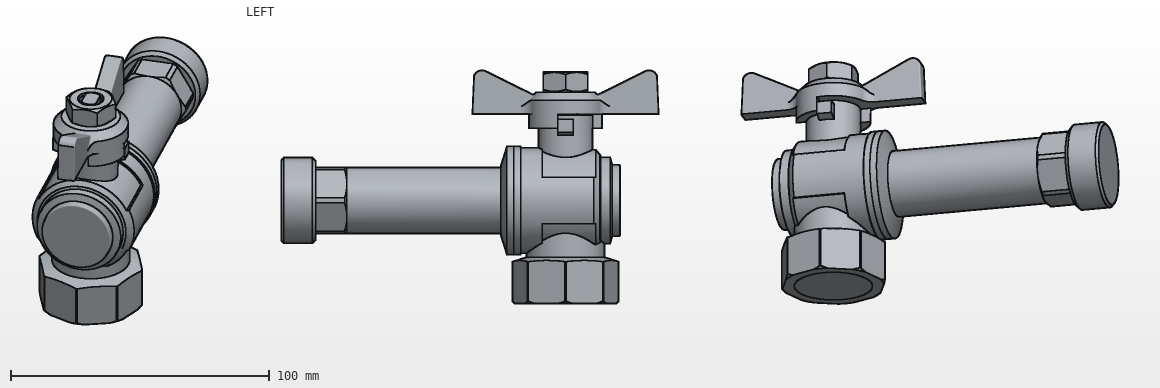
import cadquery as cq
import math


barrel_radius = 20.5
collar_diameter = 42.0
collar_start_y = 17.4
joint_y = 20.0
barrel_end_y = -11.0
barrel_chamfer_end_y = -13.3
barrel_chamfer_end_radius = 17.8
cap_radius = 16.8
cap_start_y = -13.7
cap_end_y = -17.2
plug_radius = 13.9
plug_start_y = -18.1
plug_end_y = -21.2
plug_edge_fillet = 0.7

recess_radius = 19.7
recess_half_height = 8.9
recess_start_y = 9.0

neck_diameter = 21.0
neck_top_z = 33.0
outlet_neck_diameter = 30.2

lug_half_width = 2.9
lug_top_z = 31.4
lug_edge_z = 26.4
lug_root_z = 25.3

flange_edge_y = 22.6
flange_cone_end_y = 25.0
flange_cone_radius = 13.7
pipe_diameter = 25.7
hexagon_flats = 25.7
hexagon_corner_diameter = 28.6
hexagon_start_y = 84.5
hexagon_chamfer_radial = (hexagon_corner_diameter - pipe_diameter) / 2
hexagon_chamfer_axial = 0.9
sleeve_radius = 16.6
sleeve_start_y = 96.5
sleeve_inner_chamfer = 1.5
sleeve_outer_chamfer = 1.0
handle_tip_y = 36.0
tail_end_y = 146 - handle_tip_y

outlet_nut_sides = 8
outlet_nut_flats = 38.3
outlet_nut_corner_radius = 20.6
outlet_nut_top_z = -21.9
outlet_nut_shoulder_z = -23.7
outlet_nut_bottom_z = -39.9
outlet_nut_chamfer = 0.9

hub_radius = 14.5
hub_top_radius = 11.4
hub_bottom_z = 33.5
hub_top_z = 41.9
hub_cone_base_z = 38.8
skirt_bottom_z = 27.9
wing_half_width = 3.4
wing_root_fillet = 5.3
wing_edge_fillet = 0.6
wing_cone_fillet = 0.7
wing_top_z = 50.4
wing_shoulder_z = 48.2
wing_crest_y = 32.3
wing_crest_radius = 3.4
wing_inner_y = 11.0
wing_slope_angle = 26.5

spindle_diameter = 8.9
spindle_flats = 5.8
top_nut_flats = 17.2
top_nut_face_diameter = 16.4
top_nut_height = 7.9
top_nut_chamfer_angle = 30
top_nut_bore_chamfer = 0.6
top_nut_z = hub_top_z + top_nut_height


def turned_about_pipe(profile):
    """Solid of revolution about Y from (radius, y) points; the axis closes the outline."""
    return cq.Workplane("XY").polyline(profile).close().revolve(360, (0, 0, 0), (0, 1, 0))


def turned_about_stem(profile):
    """Solid of revolution about Z from (radius, z) points; the axis closes the outline."""
    return cq.Workplane("XZ").polyline(profile).close().revolve(360, (0, 0, 0), (0, 1, 0))


def cylinder_z(diameter, bottom_z, top_z):
    return cq.Workplane("XY", origin=(0, 0, bottom_z)).circle(diameter / 2).extrude(top_z - bottom_z)


def prism_z(sides, across_flats, bottom_z, top_z):
    corner_diameter = across_flats / math.cos(math.pi / sides)
    prism = cq.Workplane("XY", origin=(0, 0, bottom_z)).polygon(sides, corner_diameter)
    return prism.extrude(top_z - bottom_z)


def make_barrel():
    collar_radius = collar_diameter / 2
    barrel = turned_about_pipe([
        (0, joint_y),
        (collar_radius, joint_y),
        (collar_radius, collar_start_y),
        (barrel_radius, collar_start_y),
        (barrel_radius, barrel_end_y),
        (barrel_chamfer_end_radius, barrel_chamfer_end_y),
        (cap_radius, cap_start_y),
        (cap_radius, cap_end_y),
        (plug_radius, plug_start_y),
        (plug_radius, plug_end_y),
        (0, plug_end_y),
    ])
    return barrel.faces("<Y").edges().fillet(plug_edge_fillet)


def make_recess(side):
    """Thin shell of the barrel above (side 1) or below (side -1) the pipe axis."""
    length = recess_start_y - barrel_chamfer_end_y
    shell = (
        cq.Workplane("XZ", origin=(0, recess_start_y, 0))
        .circle(collar_diameter / 2)
        .circle(recess_radius)
        .extrude(length)
    )
    region_height = collar_diameter / 2 - recess_half_height
    region = cq.Workplane("XY").box(collar_diameter, length, region_height).translate((
        0,
        (recess_start_y + barrel_chamfer_end_y) / 2,
        side * (recess_half_height + region_height / 2),
    ))
    return shell.intersect(region)


def make_lugs():
    """One bar through the neck gives both lugs; its underside rises towards the ends."""
    neck_radius = neck_diameter / 2
    return (
        cq.Workplane("XZ", origin=(0, lug_half_width, 0))
        .moveTo(-hub_radius, lug_top_z)
        .lineTo(hub_radius, lug_top_z)
        .lineTo(hub_radius, lug_edge_z)
        .lineTo(neck_radius, lug_root_z)
        .lineTo(-neck_radius, lug_root_z)
        .lineTo(-hub_radius, lug_edge_z)
        .close()
        .extrude(2 * lug_half_width)
    )


def make_body():
    stem_neck = cylinder_z(neck_diameter, 0, neck_top_z)
    outlet_neck = cylinder_z(outlet_neck_diameter, outlet_nut_bottom_z, 0)
    barrel = make_barrel()
    for side in (1, -1):
        barrel = barrel.cut(make_recess(side))
    return barrel.union(stem_neck).union(outlet_neck).union(make_lugs())


def make_tailpiece():
    pipe_radius = pipe_diameter / 2
    flange_radius = collar_diameter / 2
    turned = turned_about_pipe([
        (0, joint_y),
        (flange_radius, joint_y),
        (flange_radius, flange_edge_y),
        (flange_cone_radius, flange_cone_end_y),
        (pipe_radius, flange_cone_end_y),
        (pipe_radius, sleeve_start_y),
        (sleeve_radius - sleeve_inner_chamfer, sleeve_start_y),
        (sleeve_radius, sleeve_start_y + sleeve_inner_chamfer),
        (sleeve_radius, tail_end_y - sleeve_outer_chamfer),
        (sleeve_radius - sleeve_outer_chamfer, tail_end_y),
        (0, tail_end_y),
    ])
    corner_radius = hexagon_corner_diameter / 2
    hexagon_envelope = turned_about_pipe([
        (0, hexagon_start_y),
        (corner_radius - hexagon_chamfer_radial, hexagon_start_y),
        (corner_radius, hexagon_start_y + hexagon_chamfer_axial),
        (corner_radius, sleeve_start_y),
        (0, sleeve_start_y),
    ])
    hexagon = prism_z(6, hexagon_flats, -sleeve_start_y, -hexagon_start_y)
    hexagon = hexagon.rotate((0, 0, 0), (1, 0, 0), 90)
    return turned.union(hexagon.intersect(hexagon_envelope))


def make_outlet_nut():
    corner = outlet_nut_corner_radius
    envelope = turned_about_stem([
        (0, outlet_nut_top_z),
        (outlet_neck_diameter / 2, outlet_nut_top_z),
        (corner, outlet_nut_shoulder_z),
        (corner, outlet_nut_bottom_z + outlet_nut_chamfer),
        (corner - outlet_nut_chamfer, outlet_nut_bottom_z),
        (0, outlet_nut_bottom_z),
    ])
    prism = prism_z(outlet_nut_sides, outlet_nut_flats, outlet_nut_bottom_z, outlet_nut_top_z)
    bore = cylinder_z(outlet_neck_diameter, outlet_nut_bottom_z, outlet_nut_top_z)
    return prism.intersect(envelope).cut(bore)


def make_wing_root():
    """Vertical web through the hub, joined to its round side by concave fillets."""
    fillet_x = wing_half_width + wing_root_fillet
    center_distance = hub_radius + wing_root_fillet
    fillet_y = math.sqrt(center_distance**2 - fillet_x**2)
    tangent_x = fillet_x * hub_radius / center_distance
    tangent_y = fillet_y * hub_radius / center_distance
    middle = math.pi + math.atan2(fillet_y, fillet_x) / 2
    middle_x = fillet_x + wing_root_fillet * math.cos(middle)
    middle_y = fillet_y + wing_root_fillet * math.sin(middle)
    return (
        cq.Workplane("XY", origin=(0, 0, hub_bottom_z))
        .moveTo(tangent_x, -tangent_y)
        .threePointArc((middle_x, -middle_y), (wing_half_width, -fillet_y))
        .lineTo(-wing_half_width, -fillet_y)
        .threePointArc((-middle_x, -middle_y), (-tangent_x, -tangent_y))
        .lineTo(-tangent_x, tangent_y)
        .threePointArc((-middle_x, middle_y), (-wing_half_width, fillet_y))
        .lineTo(wing_half_width, fillet_y)
        .threePointArc((middle_x, middle_y), (tangent_x, tangent_y))
        .close()
        .extrude(hub_top_z - hub_bottom_z)
    )


def make_hub():
    slope = (hub_top_z - hub_cone_base_z) / (hub_radius - hub_top_radius)
    cone_base_radius = hub_top_radius + (hub_top_z - hub_bottom_z) / slope
    cone = turned_about_stem([
        (0, hub_top_z),
        (hub_top_radius, hub_top_z),
        (cone_base_radius, hub_bottom_z),
        (0, hub_bottom_z),
    ])
    disc = cylinder_z(2 * hub_radius, hub_bottom_z, hub_top_z)
    return disc.union(make_wing_root()).intersect(cone)


def make_skirt():
    """Two ring segments that leave opposite quadrants free for the stop lugs."""
    ring = cylinder_z(2 * hub_radius, skirt_bottom_z, hub_bottom_z).cut(
        cylinder_z(neck_diameter, skirt_bottom_z, hub_bottom_z)
    )
    corner = cq.Workplane("XY", origin=(lug_half_width, lug_half_width, skirt_bottom_z)).box(
        hub_radius, hub_radius, hub_bottom_z - skirt_bottom_z, centered=False
    )
    segment = ring.intersect(corner.rotate((0, 0, 0), (0, 0, 1), 90))
    return segment.union(segment.rotate((0, 0, 0), (0, 0, 1), 180))


def make_wing():
    crest_z = wing_top_z - wing_crest_radius
    outer_angle = math.asin((wing_shoulder_z - crest_z) / wing_crest_radius)
    slope_angle = math.radians(90 + wing_slope_angle)

    def crest_point(angle):
        return (
            wing_crest_y + wing_crest_radius * math.cos(angle),
            crest_z + wing_crest_radius * math.sin(angle),
        )

    slope_end_y, slope_end_z = crest_point(slope_angle)
    inner_z = slope_end_z - (slope_end_y - wing_inner_y) * math.tan(math.radians(wing_slope_angle))
    return (
        cq.Workplane("YZ", origin=(-wing_half_width, 0, 0))
        .moveTo(wing_inner_y, hub_bottom_z)
        .lineTo(handle_tip_y, hub_bottom_z)
        .lineTo(*crest_point(outer_angle))
        .threePointArc(crest_point((outer_angle + slope_angle) / 2), (slope_end_y, slope_end_z))
        .lineTo(wing_inner_y, inner_z)
        .close()
        .extrude(2 * wing_half_width)
        .faces("not (|X or <Z or <Y)")
        .edges("not |X")
        .fillet(wing_edge_fillet)
    )


def make_handle():
    wing = make_wing()
    handle = make_hub().union(make_skirt())
    for turn in (0, 180):
        handle = handle.union(wing.rotate((0, 0, 0), (0, 0, 1), turn))
    handle = handle.edges("%HYPERBOLA").fillet(wing_cone_fillet)
    return handle.cut(cylinder_z(spindle_diameter, hub_bottom_z, hub_top_z))


def make_spindle():
    """Round shank through the hub, with two flats along the part inside the nut."""
    shank = cylinder_z(spindle_diameter, neck_top_z, hub_top_z)
    flat_block = cq.Workplane("XY", origin=(0, 0, hub_top_z)).box(
        spindle_flats, spindle_diameter, top_nut_height, centered=(True, True, False)
    )
    return shank.union(cylinder_z(spindle_diameter, hub_top_z, top_nut_z).intersect(flat_block))


def make_top_nut():
    prism = prism_z(6, top_nut_flats, hub_top_z, top_nut_z)
    corner_radius = top_nut_flats / 2 / math.cos(math.pi / 6)
    face_radius = top_nut_face_diameter / 2
    chamfer_drop = (corner_radius - face_radius) * math.tan(math.radians(top_nut_chamfer_angle))
    envelope = turned_about_stem([
        (0, top_nut_z),
        (face_radius, top_nut_z),
        (corner_radius, top_nut_z - chamfer_drop),
        (corner_radius, hub_top_z + chamfer_drop),
        (face_radius, hub_top_z),
        (0, hub_top_z),
    ])
    bore_radius = spindle_diameter / 2
    bore = turned_about_stem([
        (0, hub_top_z),
        (bore_radius, hub_top_z),
        (bore_radius, top_nut_z - top_nut_bore_chamfer),
        (bore_radius + top_nut_bore_chamfer, top_nut_z),
        (0, top_nut_z),
    ])
    return prism.intersect(envelope).cut(bore)


body = make_body()
tailpiece = make_tailpiece()
outlet_nut = make_outlet_nut()
handle = make_handle()
spindle = make_spindle()
top_nut = make_top_nut()

result = cq.Compound.makeCompound([
    body.val(),
    tailpiece.val(),
    outlet_nut.val(),
    handle.val(),
    spindle.val(),
    top_nut.val(),
])